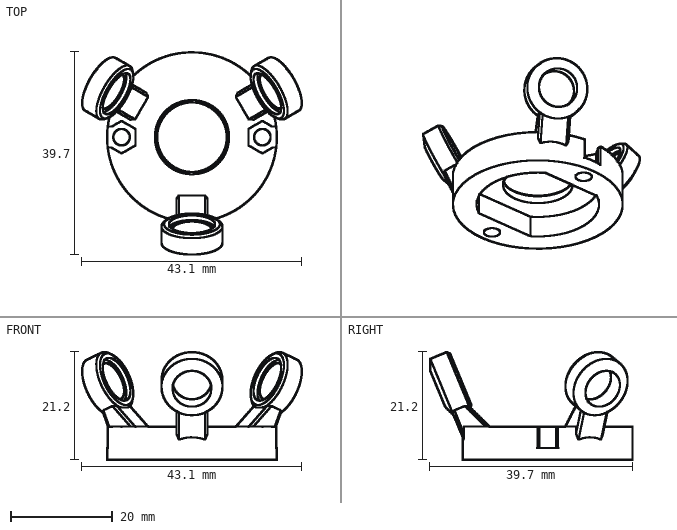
import cadquery as cq
import math

base_diameter = 33.35
base_height = 6.5
bore_diameter = 13.65
bore_chamfer = 0.47

cavity_diameter = 24.02
cavity_width = 20.0
cavity_depth = 4.5

pocket_offset = 13.8
pocket_across_flats = 5.5
pocket_floor = 2.35
rim_slot_width = 4.1
screw_hole_diameter = 3.2

ring_count = 3
first_ring_angle = -90
ring_tilt = 22.5
ring_center_radius = 20.75
ring_center_height = 14.28
ring_diameter = 12.0
ring_length = 4.0
ring_bore_diameter = 7.6
ring_bore_mouth_diameter = 7.7
seat_diameter = 9.0
seat_mouth_diameter = 9.1
seat_depth = 1.0
edge_chamfer = 0.5

arm_width = 6.12
arm_root_radius = 11.4
arm_inner_slope = 44.5
arm_root_height = 3.9

tilt = math.radians(ring_tilt)
ring_plane = cq.Plane(
    origin=(ring_center_radius, 0, ring_center_height),
    xDir=(math.cos(tilt), 0, -math.sin(tilt)),
    normal=(0, -1, 0),
)


def revolve_about_ring_axis(points):
    """Revolve (axial, radial) points around the tilted ring axis."""
    return cq.Workplane(ring_plane).polyline(points).close().revolve(360, (0, 0), (1, 0))


def make_base():
    bore_radius = bore_diameter / 2
    base = cq.Workplane("XY").circle(base_diameter / 2).circle(bore_radius).extrude(base_height)
    return base.faces(">Z").edges(cq.selectors.RadiusNthSelector(0)).chamfer(bore_chamfer)


def make_cavity():
    round_part = cq.Workplane("XY").circle(cavity_diameter / 2).extrude(cavity_depth)
    flat_part = cq.Workplane("XY").rect(cavity_width, cavity_diameter).extrude(cavity_depth)
    return round_part.intersect(flat_part)


def make_ring_body():
    radius = ring_diameter / 2
    nose_radius = ring_bore_diameter / 2
    nose_length = (radius - nose_radius) * math.tan(tilt)
    return revolve_about_ring_axis([
        (-ring_length, 0),
        (-ring_length, radius - edge_chamfer),
        (edge_chamfer - ring_length, radius),
        (0, radius),
        (nose_length, nose_radius),
        (nose_length, 0),
    ])


def make_ring_opening():
    clearance = ring_length
    bore_radius = ring_bore_diameter / 2
    bore_mouth_radius = ring_bore_mouth_diameter / 2
    seat_radius = seat_diameter / 2
    seat_mouth_radius = seat_mouth_diameter / 2
    bore_break = bore_mouth_radius - bore_radius
    seat_break = seat_mouth_radius - seat_radius
    seat_floor = seat_depth - ring_length
    return revolve_about_ring_axis([
        (-ring_length - clearance, 0),
        (-ring_length - clearance, seat_mouth_radius),
        (-ring_length, seat_mouth_radius),
        (seat_break - ring_length, seat_radius),
        (seat_floor, seat_radius),
        (seat_floor, bore_mouth_radius),
        (seat_floor + bore_break, bore_radius),
        (clearance, bore_radius),
        (clearance, 0),
    ])


def make_arm():
    def outer_radius(height):
        return ring_center_radius - (ring_center_height - height) * math.tan(tilt)

    depth_in_ring = (ring_diameter + ring_bore_diameter) / 4
    top_outer_height = ring_center_height - depth_in_ring * math.cos(tilt)
    top_outer = (outer_radius(top_outer_height), top_outer_height)

    rise = math.tan(math.radians(arm_inner_slope))
    fall = math.tan(tilt)
    run = (top_outer_height - base_height + fall * (top_outer[0] - arm_root_radius)) / (rise + fall)
    top_inner = (arm_root_radius + run, base_height + rise * run)

    root_inner_radius = arm_root_radius - (base_height - arm_root_height) / rise
    outline = [
        (root_inner_radius, arm_root_height),
        (outer_radius(arm_root_height), arm_root_height),
        top_outer,
        top_inner,
    ]
    arm = cq.Workplane("XZ").polyline(outline).close().extrude(arm_width / 2, both=True)
    steep_limit = math.sin(math.radians(30))
    lengthwise = [
        edge for edge in arm.edges("not(|Y)").vals()
        if abs(edge.tangentAt(0).z) > steep_limit
    ]
    return arm.newObject(lengthwise).chamfer(edge_chamfer)


def make_nut_pocket(side):
    center = side * pocket_offset
    corner_diameter = pocket_across_flats / math.cos(math.radians(30))
    cut_height = base_height - pocket_floor
    floor = cq.Workplane("XY").workplane(offset=pocket_floor)
    pocket = (
        floor.center(center, 0)
        .transformed(rotate=(0, 0, 30))
        .polygon(6, corner_diameter)
        .extrude(cut_height)
    )
    slot_length = base_diameter / 2 - pocket_offset + 0.45
    slot = (
        floor.center(center + side * slot_length / 2, 0)
        .rect(slot_length, rim_slot_width)
        .extrude(cut_height)
    )
    hole = cq.Workplane("XY").center(center, 0).circle(screw_hole_diameter / 2).extrude(base_height)
    return pocket.union(slot).union(hole)


result = make_base()
for side in (-1, 1):
    result = result.cut(make_nut_pocket(side))

ring_and_arm = make_arm().union(make_ring_body()).cut(make_ring_opening())
for index in range(ring_count):
    angle = first_ring_angle + index * 360 / ring_count
    result = result.union(ring_and_arm.rotate((0, 0, 0), (0, 0, 1), angle))

result = result.cut(make_cavity())